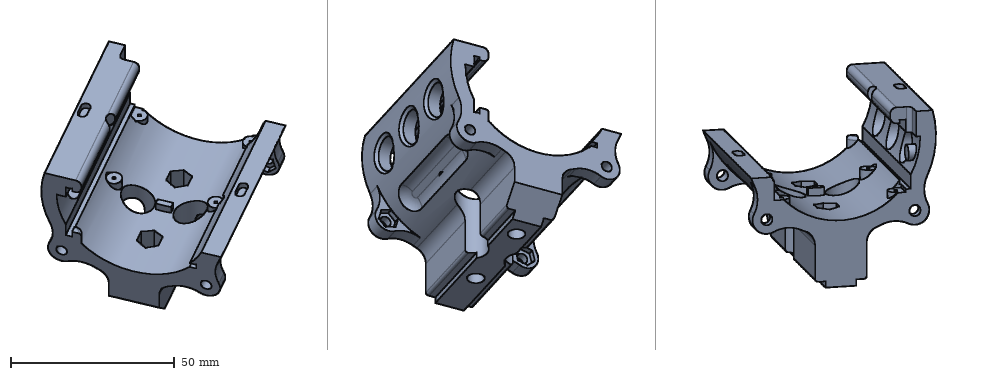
import cadquery as cq
import math

LENGTH = 61.0
BACK_Y = LENGTH / 2
FRONT_Y = -LENGTH / 2

OUTER_R = 30.0
BORE_R = 25.0
LIP_R = 24.0
LEFT_TOP_Z = 8.0
RIGHT_TOP_Z = -10.0

LUG_X = 23.35
LUG_Z = -23.35
LUG_R = 4.5
LUG_WIDTH = 5.0
LUG_BLEND_R = 10.0
LUG_HOLE_D = 3.5
NUT_POCKET_FLATS = 6.0
NUT_POCKET_DEPTH = 2.0

BLOCK_HALF_WIDTH = 8.2
BLOCK_BLEND_R = 5.0
BLOCK_EDGE_R = 1.0
SHOULDER_Z = -44.0
KEY_HALF_WIDTH = 4.9
BOTTOM_Z = -46.0
NOSE_CHAMFER = 8.0

WALL_FACE_X = -22.0
HOOK_INNER_X = -20.0
HOOK_TIP_X = -17.0
UPPER_HOOK_Z = 3.0
UPPER_SLOT_Z = 3.95
UPPER_HOOK_R = 1.95
LOWER_HOOK_Z = -14.35
LOWER_SLOT_Z = -16.4
LOWER_HOOK_R = 1.0
LOWER_HOOK_FOOT_Z = -18.8

PAD_Z = -17.4
PAD_R = 2.5
PAD_DEPTH = 3.65
PILOT_D = 1.0
PILOT_DEPTH = 3.0
MIDDLE_PAD_X = 16.5
MIDDLE_PAD_Y = -1.1
BACK_PAD_X = 18.0
BACK_PAD_Y = 27.45
BACK_CLEARANCE_R = 3.0

GROOVE_TOP_Z = -15.8
GROOVE_X = 20.05

RELIEF_X = -23.65
RELIEF_CORNER_R = 1.5

STANDOFF_R = 2.5
STANDOFF_Y = 25.4
STANDOFF_Z = -6.2

WINDOW_D = 10.5
WINDOW_CHAMFER = 1.0
WINDOW_Y = -0.3
WINDOW_PITCH = 17.0
WINDOW_Z = STANDOFF_Z

RECESS_ANGLE = 45.0
RECESS_FLOOR_R = 28.05
RECESS_HALF_WIDTH = 6.2
RECESS_FLOOR_BLEND_R = 5.0
RECESS_STRAIGHT = 30.2
RECESS_Y = -0.5

SHAFT_D = 10.5
SHAFT_X = 8.5
SHAFT_Y = -1.75
BOLT_D = 5.4
BOLT_Y = -1.5
BOLT_PITCH = 27.95
BOLT_HEX_FLATS = 7.0
BOLT_HEX_FLOOR_Z = -35.0
TAB_WIDTH = 5.0
TAB_THICKNESS = 2.0
TAB_TOP_Z = -22.45
TAB_Y = -1.65

TOP_SLOT_LENGTH = 6.0
TOP_SLOT_WIDTH = 3.0
TOP_SLOT_DEPTH = 2.0
TOP_SLOT_Y = -0.5
LEFT_SLOT_X = -26.35
RIGHT_SLOT_X = 24.6

OVERLAP = 0.6
HEX_HALF_STEP = 30.0


def box(x_range, y_range, z_range):
    """Box between the given limits."""
    (x0, x1), (y0, y1), (z0, z1) = x_range, y_range, z_range
    return cq.Workplane("XY").box(x1 - x0, y1 - y0, z1 - z0, centered=False).translate((x0, y0, z0))


def along_y(y0, y1):
    """XZ sketch plane at y0 and the signed distance that extrudes it to y1."""
    return cq.Workplane("XZ", origin=(0, y0, 0)), y0 - y1


def rod_y(x, z, radius, y0, y1):
    plane, distance = along_y(y0, y1)
    return plane.center(x, z).circle(radius).extrude(distance)


def prism_y(points, y0, y1):
    plane, distance = along_y(y0, y1)
    return plane.polyline(points).close().extrude(distance)


def rod_z(x, y, radius, z0, z1):
    return cq.Workplane("XY", origin=(x, y, z0)).circle(radius).extrude(z1 - z0)


def hex_across_corners(flats):
    return flats / math.cos(math.pi / 6)


def with_mirror(shape):
    """Shape together with its copy on the other side of the YZ plane."""
    return shape.union(shape.mirror("YZ"))


def lug_blend_centers():
    """Centers of the two circles that touch both the shell and the left lug from outside."""
    to_lug = math.hypot(LUG_X, LUG_Z)
    to_shell = OUTER_R + LUG_BLEND_R
    to_rim = LUG_R + LUG_BLEND_R
    offset = math.acos((to_lug**2 + to_shell**2 - to_rim**2) / (2 * to_lug * to_shell))
    lug_angle = math.atan2(LUG_Z, -LUG_X)
    return [(to_shell * math.cos(lug_angle + turn), to_shell * math.sin(lug_angle + turn))
            for turn in (-offset, offset)]


def lug(y0, y1):
    upper, lower = lug_blend_centers()
    web = prism_y([(0, 0), upper, (-LUG_X, LUG_Z), lower], y0, y1)
    for x, z in (upper, lower):
        web = web.cut(rod_y(x, z, LUG_BLEND_R, y0, y1))
    return web.union(rod_y(-LUG_X, LUG_Z, LUG_R, y0, y1))


def block():
    blend_x = BLOCK_HALF_WIDTH + BLOCK_BLEND_R
    blend_z = -math.sqrt((OUTER_R + BLOCK_BLEND_R)**2 - blend_x**2)
    neck = prism_y([(0, 0), (-blend_x, blend_z), (blend_x, blend_z)], FRONT_Y, BACK_Y)
    for x in (-blend_x, blend_x):
        neck = neck.cut(rod_y(x, blend_z, BLOCK_BLEND_R, FRONT_Y, BACK_Y))
    length = (FRONT_Y, BACK_Y)
    base = box((-BLOCK_HALF_WIDTH, BLOCK_HALF_WIDTH), length, (SHOULDER_Z, blend_z))
    base = base.edges("|Y and <Z").fillet(BLOCK_EDGE_R)
    key = box((-KEY_HALF_WIDTH, KEY_HALF_WIDTH), length, (BOTTOM_Z, SHOULDER_Z + BLOCK_EDGE_R))
    nose = (cq.Workplane("YZ")
            .moveTo(FRONT_Y, BOTTOM_Z)
            .lineTo(FRONT_Y + NOSE_CHAMFER, BOTTOM_Z)
            .lineTo(FRONT_Y, BOTTOM_Z + NOSE_CHAMFER)
            .close().extrude(BLOCK_HALF_WIDTH, both=True))
    return neck.union(base).union(key).cut(nose)


def bored_shell():
    shell = rod_y(0, 0, OUTER_R, FRONT_Y, BACK_Y)
    for y0, y1 in ((FRONT_Y, FRONT_Y + LUG_WIDTH), (BACK_Y - LUG_WIDTH, BACK_Y)):
        shell = shell.union(with_mirror(lug(y0, y1)))
    length = (FRONT_Y, BACK_Y)
    shell = shell.union(block())
    shell = shell.cut(box((-OUTER_R, 0), length, (LEFT_TOP_Z, OUTER_R)))
    shell = shell.cut(box((0, OUTER_R), length, (RIGHT_TOP_Z, OUTER_R)))
    return shell.cut(rod_y(0, 0, BORE_R, FRONT_Y, BACK_Y))


def right_lip():
    lip = rod_y(0, 0, BORE_R, FRONT_Y, BACK_Y).cut(rod_y(0, 0, LIP_R, FRONT_Y, BACK_Y))
    return lip.intersect(box((0, OUTER_R), (FRONT_Y, BACK_Y), (GROOVE_TOP_Z, RIGHT_TOP_Z)))


def upper_hook():
    length = (FRONT_Y, BACK_Y)
    wall = box((-BORE_R, WALL_FACE_X), length, (0, LEFT_TOP_Z))
    wall = wall.intersect(rod_y(0, 0, OUTER_R, FRONT_Y, BACK_Y))
    hook = box((WALL_FACE_X, HOOK_TIP_X), length, (UPPER_HOOK_Z, LEFT_TOP_Z))
    hook = hook.edges("|Y and >X").fillet(UPPER_HOOK_R)
    notch = box((WALL_FACE_X, HOOK_INNER_X), length, (UPPER_HOOK_Z, UPPER_SLOT_Z))
    return wall.union(hook.cut(notch))


def lower_hook():
    """Quarter-round post at the front end, with a rounded top rim."""
    radius = HOOK_TIP_X - HOOK_INNER_X
    post = rod_z(HOOK_INNER_X, FRONT_Y, radius, LOWER_HOOK_FOOT_Z, LOWER_HOOK_Z)
    post = post.faces(">Z").edges().fillet(LOWER_HOOK_R)
    return post.intersect(box((HOOK_INNER_X, HOOK_TIP_X), (FRONT_Y, FRONT_Y + radius),
                              (LOWER_HOOK_FOOT_Z, LOWER_HOOK_Z)))


def pad(x, y):
    return rod_z(x, y, PAD_R, PAD_Z - PAD_DEPTH, PAD_Z)


def right_relief():
    """Room above the right back pad, open toward the back face."""
    heights = (PAD_Z, RIGHT_TOP_Z)
    room = rod_z(BACK_PAD_X, BACK_PAD_Y, BACK_CLEARANCE_R, *heights)
    sides = (BACK_PAD_X - BACK_CLEARANCE_R, BACK_PAD_X + BACK_CLEARANCE_R)
    return room.union(box(sides, (BACK_PAD_Y, BACK_Y), heights))


def left_relief():
    """Opening at the back end of the left wall, above its back pad."""
    front = BACK_PAD_Y - BACK_CLEARANCE_R
    opening = box((RELIEF_X, 0), (front, BACK_Y), (0, LEFT_TOP_Z))
    opening = opening.edges("|Z and <X and <Y").fillet(RELIEF_CORNER_R)
    return opening.union(box((-BACK_PAD_X - PAD_R, 0), (front, BACK_Y), (PAD_Z, LEFT_TOP_Z)))


def window(y):
    return cq.Workplane("YZ", origin=(-OUTER_R, y, WINDOW_Z)).circle(WINDOW_D / 2).extrude(OUTER_R)


def add_windows(shell):
    """Cut the round windows and chamfer their outer rims, which are centered at window height."""
    for step in (-1, 0, 1):
        shell = shell.cut(window(WINDOW_Y + step * WINDOW_PITCH))
    mid_wall_x = -(OUTER_R + BORE_R) / 2
    outer_rims = cq.selectors.BoxSelector(
        (-OUTER_R, FRONT_Y + LUG_WIDTH, WINDOW_Z - WINDOW_CHAMFER),
        (mid_wall_x, BACK_Y - LUG_WIDTH, WINDOW_Z + WINDOW_CHAMFER))
    return shell.edges(outer_rims).chamfer(WINDOW_CHAMFER)


def side_standoff():
    base = cq.Workplane("YZ", origin=(-BORE_R, STANDOFF_Y, STANDOFF_Z))
    return base.circle(STANDOFF_R).extrude(WALL_FACE_X + BORE_R)


def recess():
    """Round-ended, dished recess cut into the left side of the shell."""
    tilt = math.radians(RECESS_ANGLE)
    outward = cq.Vector(-math.cos(tilt), 0, -math.sin(tilt))
    center = outward * RECESS_FLOOR_R + cq.Vector(0, RECESS_Y, 0)
    plane = cq.Plane(origin=center, xDir=(0, 1, 0), normal=outward)
    cutter = (cq.Workplane(plane)
              .slot2D(RECESS_STRAIGHT + 2 * RECESS_HALF_WIDTH, 2 * RECESS_HALF_WIDTH)
              .extrude(2 * RECESS_FLOOR_BLEND_R))
    floor = cutter.faces(cq.selectors.DirectionMinMaxSelector(outward, False))
    return floor.edges().fillet(RECESS_FLOOR_BLEND_R)


def nut_pocket():
    """Hexagon in the inner face of the back lug, one flat facing the bore axis."""
    inner_y = BACK_Y - LUG_WIDTH
    plane, distance = along_y(inner_y, inner_y + NUT_POCKET_DEPTH)
    tilt = math.degrees(math.atan2(LUG_Z, LUG_X)) + HEX_HALF_STEP
    return (plane.center(-LUG_X, LUG_Z).transformed(rotate=(0, 0, -tilt))
            .polygon(6, hex_across_corners(NUT_POCKET_FLATS)).extrude(distance))


def bolt_hole(y):
    hexagon = (cq.Workplane("XY", origin=(0, y, BOLT_HEX_FLOOR_Z))
               .transformed(rotate=(0, 0, HEX_HALF_STEP))
               .polygon(6, hex_across_corners(BOLT_HEX_FLATS)).extrude(-BOLT_HEX_FLOOR_Z))
    return hexagon.union(rod_z(0, y, BOLT_D / 2, BOTTOM_Z, 0))


def top_slot(x, z):
    return (cq.Workplane("XY", origin=(x, TOP_SLOT_Y, z))
            .slot2D(TOP_SLOT_LENGTH, TOP_SLOT_WIDTH, 90).extrude(-TOP_SLOT_DEPTH))


body = add_windows(bored_shell())
body = body.cut(with_mirror(recess()))
body = body.cut(box((WALL_FACE_X, HOOK_INNER_X), (FRONT_Y, BACK_Y), (LOWER_SLOT_Z, 0)))
body = body.cut(box((0, GROOVE_X), (FRONT_Y, BACK_Y), (PAD_Z, GROOVE_TOP_Z)))
body = body.union(right_lip()).union(upper_hook()).union(lower_hook())

body = body.cut(left_relief())
body = body.cut(right_relief())
pad_places = []
for side in (-1, 1):
    body = body.cut(rod_z(side * MIDDLE_PAD_X, MIDDLE_PAD_Y, PAD_R, PAD_Z, LEFT_TOP_Z))
    pad_places += [(side * MIDDLE_PAD_X, MIDDLE_PAD_Y), (side * BACK_PAD_X, BACK_PAD_Y)]
for x, y in pad_places:
    body = body.union(pad(x, y))
for x, y in pad_places:
    body = body.cut(rod_z(x, y, PILOT_D / 2, PAD_Z - PILOT_DEPTH, PAD_Z))

body = body.union(side_standoff())

lug_hole = rod_y(-LUG_X, LUG_Z, LUG_HOLE_D / 2, FRONT_Y, BACK_Y)
body = body.cut(with_mirror(lug_hole))
body = body.cut(with_mirror(nut_pocket()))

for x in (-SHAFT_X, SHAFT_X):
    body = body.cut(rod_z(x, SHAFT_Y, SHAFT_D / 2, BOTTOM_Z, 0))
for side in (-1, 1):
    body = body.cut(bolt_hole(BOLT_Y + side * BOLT_PITCH / 2))
body = body.union(box((-TAB_WIDTH / 2, TAB_WIDTH / 2),
                      (TAB_Y - TAB_THICKNESS / 2, TAB_Y + TAB_THICKNESS / 2),
                      (-BORE_R - OVERLAP, TAB_TOP_Z)))

body = body.cut(top_slot(LEFT_SLOT_X, LEFT_TOP_Z))
result = body.cut(top_slot(RIGHT_SLOT_X, RIGHT_TOP_Z))